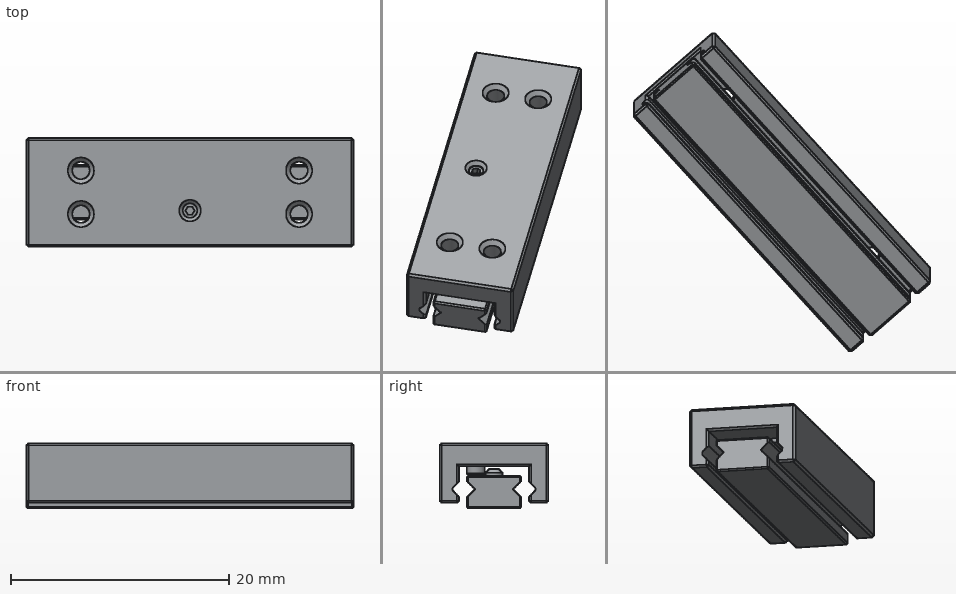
import cadquery as cq
import math

length = 30.0
carriage_width = 10.0
total_height = 6.0
carriage_bottom = 0.5
ball_track_height = 1.77

carriage_chamfer = 0.2
channel_width = 6.4
channel_ceiling = 3.87
carriage_groove_half_opening = 0.72
carriage_groove_floor_radius = 0.3

mount_spacing_x = 20.0
mount_spacing_y = 4.0
mount_hole_diameter = 1.6
mount_sink_diameter = 2.4

rail_width = 5.0
rail_height = 3.0
rail_chamfer = 0.15
rail_groove_depth = 0.75

screw_y = -1.68
screw_diameter = 1.68
screw_top = 5.58
screw_bottom = 3.12
screw_tip_chamfer = 0.1
screw_neck_diameter = 1.32
screw_sink_diameter = 1.98
hex_across_flats = 0.72
hex_depth = 0.6

stop_diameter = 1.6
stop_top = 3.63
stop_chamfer = 0.35


def conical_hole(x, y, hole_diameter, sink_diameter, bottom):
    """Round hole from bottom to the carriage top, ending in a 45 degree countersink."""
    hole_radius = hole_diameter / 2
    sink_radius = sink_diameter / 2
    sink_bottom = total_height - (sink_radius - hole_radius)
    profile = [
        (0, bottom),
        (hole_radius, bottom),
        (hole_radius, sink_bottom),
        (sink_radius, total_height),
        (0, total_height),
    ]
    cutter = cq.Workplane("XZ").polyline(profile).close().revolve(360, (0, 0, 0), (0, 1, 0))
    return cutter.translate((x, y, 0))


def carriage_groove(direction):
    """Cutter for the groove in the leg on one side: 45 degree flanks tangent to a round floor."""
    wall = channel_width / 2
    apex = wall + carriage_groove_half_opening
    radius = carriage_groove_floor_radius
    floor_centre = apex - radius * math.sqrt(2)
    tangent_offset = radius / math.sqrt(2)
    tangent_y = direction * (floor_centre + tangent_offset)
    floor_y = direction * (floor_centre + radius)
    return (
        cq.Workplane("YZ")
        .moveTo(direction * wall, ball_track_height - carriage_groove_half_opening)
        .lineTo(tangent_y, ball_track_height - tangent_offset)
        .threePointArc((floor_y, ball_track_height), (tangent_y, ball_track_height + tangent_offset))
        .lineTo(direction * wall, ball_track_height + carriage_groove_half_opening)
        .close()
        .extrude(length / 2, both=True)
    )


def make_carriage():
    """Inverted U block with a ball groove in each leg and holes in its top."""
    body_height = total_height - carriage_bottom
    carriage = cq.Workplane("XY").box(length, carriage_width, body_height, centered=(True, True, False))
    carriage = carriage.translate((0, 0, carriage_bottom))

    channel_height = channel_ceiling - carriage_bottom
    channel = cq.Workplane("XY").box(length, channel_width, channel_height, centered=(True, True, False))
    carriage = carriage.cut(channel.translate((0, 0, carriage_bottom)))

    ends = carriage.faces("<X or >X").edges()
    underside = carriage.faces("<Z").edges("|X")
    top = carriage.faces(">Z").edges("|X")
    carriage = carriage.newObject(ends.vals() + underside.vals() + top.vals()).chamfer(carriage_chamfer)

    for direction in (-1, 1):
        carriage = carriage.cut(carriage_groove(direction))

    for x in (-mount_spacing_x / 2, mount_spacing_x / 2):
        for y in (-mount_spacing_y / 2, mount_spacing_y / 2):
            hole = conical_hole(x, y, mount_hole_diameter, mount_sink_diameter, channel_ceiling)
            carriage = carriage.cut(hole)

    neck = conical_hole(0, screw_y, screw_neck_diameter, screw_sink_diameter, screw_top)
    bore = cq.Workplane("XY").workplane(offset=channel_ceiling).center(0, screw_y)
    bore = bore.circle(screw_diameter / 2).extrude(screw_top - channel_ceiling)
    return carriage.cut(neck).cut(bore)


def make_rail():
    """Rectangular bar with a sharp right-angled V groove along each side."""
    rail = cq.Workplane("XY").box(length, rail_width, rail_height, centered=(True, True, False))
    rail = rail.edges().chamfer(rail_chamfer)
    side = rail_width / 2
    for direction in (-1, 1):
        outline = [
            (direction * side, ball_track_height - rail_groove_depth),
            (direction * (side - rail_groove_depth), ball_track_height),
            (direction * side, ball_track_height + rail_groove_depth),
        ]
        groove = cq.Workplane("YZ").polyline(outline).close()
        rail = rail.cut(groove.extrude(length / 2, both=True))
    return rail


def make_set_screw():
    """Headless screw with a hexagon socket and a chamfered tip."""
    screw = cq.Workplane("XY").workplane(offset=screw_bottom).center(0, screw_y)
    screw = screw.circle(screw_diameter / 2).extrude(screw_top - screw_bottom)
    screw = screw.faces("<Z").chamfer(screw_tip_chamfer)
    hex_across_corners = hex_across_flats / math.cos(math.pi / 6)
    socket = cq.Workplane("XY").workplane(offset=screw_top - hex_depth).center(0, screw_y)
    socket = socket.polygon(6, hex_across_corners).extrude(hex_depth)
    return screw.cut(socket)


def make_stop_pin():
    """Short round pin with a tapered top."""
    pin = cq.Workplane("XY").workplane(offset=rail_height).circle(stop_diameter / 2)
    pin = pin.extrude(stop_top - rail_height)
    return pin.faces(">Z").chamfer(stop_chamfer)


carriage = make_carriage()
rail = make_rail()
set_screw = make_set_screw()
stop_pin = make_stop_pin()

result = cq.Compound.makeCompound([carriage.val(), rail.val(), set_screw.val(), stop_pin.val()])